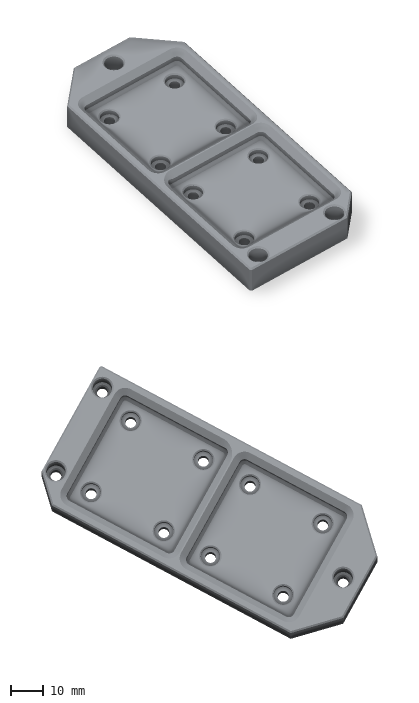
import cadquery as cq
length = 104.0
width = 46.0
thickness = 10.0
left_corner_cut = 12.0
right_corner_cut = 8.0
edge_chamfer = 0.5

first_pocket_x = 33.0
pocket_pitch = 42.0
rim_opening = 41.6
pocket_depth = 4.8
rim_bevel = 2.0
floor_bevel = 1.0
wall_corner_radius = 1.8
rim_corner_radius = wall_corner_radius + rim_bevel
wide_rim_corner_radius = 5.5
wall_opening = rim_opening - 2 * rim_bevel
floor_z = thickness - pocket_depth
second_pocket_x = first_pocket_x + pocket_pitch
cut_clearance = 1.0

hole_diameter = 3.4
counterbore_diameter = 6.0
pocket_hole_spacing = 25.6
pocket_counterbore_depth = 2.0
pocket_mouth_chamfer = 0.4
end_counterbore_depth = 6.0
end_hole_chamfer = 0.5
left_hole_x = 6.0
right_hole_x = length - 4.0
right_back_hole_y = 13.0
right_front_hole_y = -17.0


def plate():
    """Plate with three cut corners, an edge-broken fourth and chamfered top and bottom edges."""
    half_width = width / 2
    outline = [
        (0, left_corner_cut - half_width),
        (left_corner_cut, -half_width),
        (length - edge_chamfer, -half_width),
        (length, edge_chamfer - half_width),
        (length, half_width - right_corner_cut),
        (length - right_corner_cut, half_width),
        (left_corner_cut, half_width),
        (0, half_width - left_corner_cut),
    ]
    body = cq.Workplane("XY").polyline(outline).close().extrude(thickness)
    return body.faces("<Z or >Z").chamfer(edge_chamfer)


def bevelled_block(size, bottom_z, bevel, radius, near_left_radius):
    """Square cutter with rounded corners and a 45 degree bevel around its bottom face.

    It reaches above the plate; the corner towards -X and -Y has its own radius.
    """
    height = thickness + cut_clearance - bottom_z
    block = cq.Workplane("XY", origin=(0, 0, bottom_z)).rect(size, size).extrude(height)
    block = block.edges("|Z and (>X or >Y)").fillet(radius)
    block = block.edges("|Z").edges("<(1, 1, 0)").fillet(near_left_radius)
    return block.faces("<Z").chamfer(bevel)


def pocket(near_left_rim_radius):
    """Tray cutter: straight walls bevelled at the floor, opening into a bevelled rim."""
    walls = bevelled_block(wall_opening, floor_z, floor_bevel, wall_corner_radius, wall_corner_radius)
    rim_z = thickness - rim_bevel
    rim = bevelled_block(rim_opening, rim_z, rim_bevel, rim_corner_radius, near_left_rim_radius)
    return walls.union(rim)


def flare(diameter, top_z, size):
    """45 degree cone that chamfers the upper edge of a round hole."""
    radius = diameter / 2
    return cq.Workplane(cq.Solid.makeCone(radius, radius + size, size, cq.Vector(0, 0, top_z - size)))


def counterbored_hole(top_z, counterbore_depth, mouth_chamfer):
    """Through hole cutter with a counterbore and a chamfered mouth at top_z."""
    seat_z = top_z - counterbore_depth
    hole = cq.Workplane("XY").circle(hole_diameter / 2).extrude(top_z)
    counterbore = (
        cq.Workplane("XY", origin=(0, 0, seat_z))
        .circle(counterbore_diameter / 2)
        .extrude(counterbore_depth)
    )
    return hole.union(counterbore).union(flare(counterbore_diameter, top_z, mouth_chamfer))


def pocket_hole():
    """Shallow counterbored hole in a pocket floor."""
    return counterbored_hole(floor_z, pocket_counterbore_depth, pocket_mouth_chamfer)


def end_hole():
    """Deep counterbored hole from the top face, also chamfered at the counterbore seat."""
    hole = counterbored_hole(thickness, end_counterbore_depth, end_hole_chamfer)
    seat_z = thickness - end_counterbore_depth
    return hole.union(flare(hole_diameter, seat_z, end_hole_chamfer))


result = plate()

pockets = [(first_pocket_x, rim_corner_radius), (second_pocket_x, wide_rim_corner_radius)]
hole_offsets = [-pocket_hole_spacing / 2, pocket_hole_spacing / 2]
for center_x, near_left_rim_radius in pockets:
    result = result.cut(pocket(near_left_rim_radius).translate((center_x, 0, 0)))
    for offset_x in hole_offsets:
        for offset_y in hole_offsets:
            result = result.cut(pocket_hole().translate((center_x + offset_x, offset_y, 0)))

end_hole_centers = [
    (left_hole_x, 0),
    (right_hole_x, right_back_hole_y),
    (right_hole_x, right_front_hole_y),
]
for x, y in end_hole_centers:
    result = result.cut(end_hole().translate((x, y, 0)))